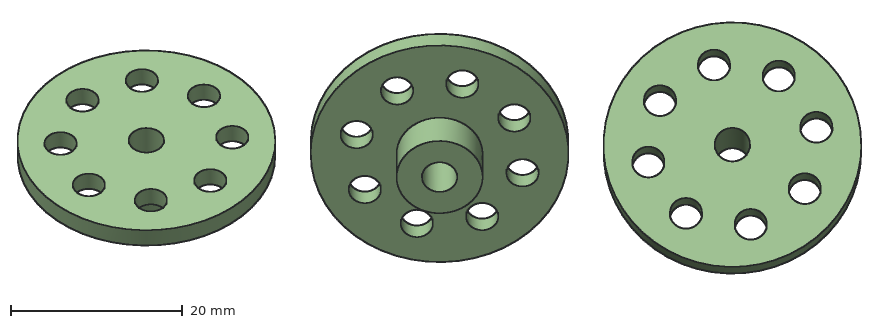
import cadquery as cq

DISC_DIAMETER = 30.0
DISC_THICKNESS = 2.5
HUB_DIAMETER = 10.0
HUB_LENGTH = 5.0
BORE_DIAMETER = 4.1
BOLT_HOLE_DIAMETER = 3.75
BOLT_CIRCLE_DIAMETER = 20.0
BOLT_HOLE_COUNT = 8

TOTAL_HEIGHT = DISC_THICKNESS + HUB_LENGTH


def flanged_hub():
    """Round disc sitting on a smaller concentric hub that starts at Z = 0."""
    hub = cq.Workplane("XY").circle(HUB_DIAMETER / 2).extrude(HUB_LENGTH)
    disc = (
        cq.Workplane("XY")
        .workplane(offset=HUB_LENGTH)
        .circle(DISC_DIAMETER / 2)
        .extrude(DISC_THICKNESS)
    )
    return hub.union(disc)


def centre_bore():
    """Cylinder that opens the bore through the disc and the hub."""
    return cq.Workplane("XY").circle(BORE_DIAMETER / 2).extrude(TOTAL_HEIGHT)


def bolt_holes():
    """Evenly spaced cylinders that open the ring of holes through the disc."""
    return (
        cq.Workplane("XY")
        .workplane(offset=HUB_LENGTH)
        .polarArray(BOLT_CIRCLE_DIAMETER / 2, 0, 360, BOLT_HOLE_COUNT)
        .circle(BOLT_HOLE_DIAMETER / 2)
        .extrude(DISC_THICKNESS)
    )


result = flanged_hub().cut(centre_bore()).cut(bolt_holes())